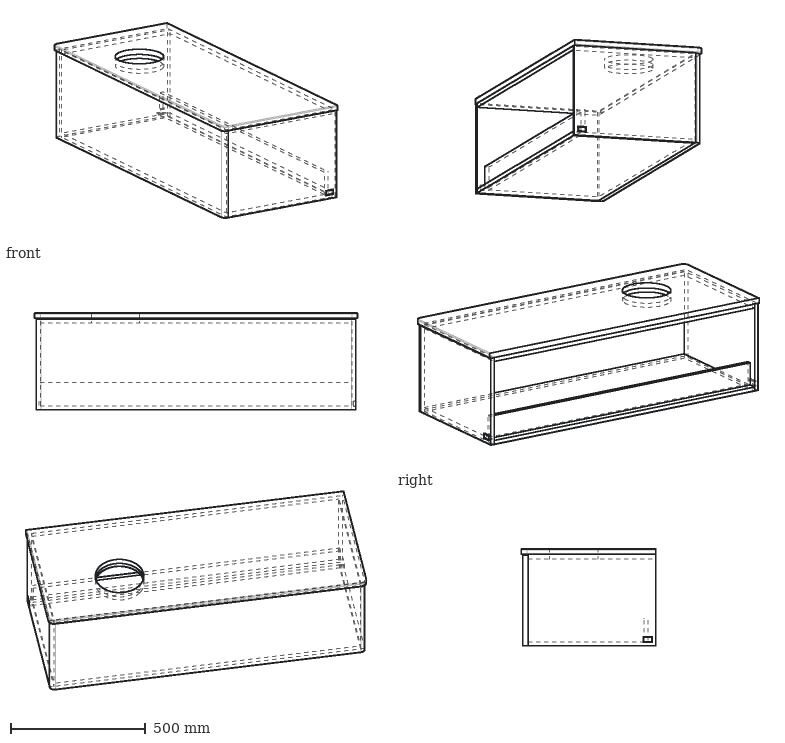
import cadquery as cq


width = 1200.0
depth = 500.0
height = 360.0

top_thickness = 20.0
top_overhang = 6.0
top_corner_radius = 22.0
top_edge_radius = 4.0

panel_thickness = 15.0
front_thickness = 20.0
front_top_gap = 2.0
corner_diameter = 35.0
corner_radius = corner_diameter / 2
carcass_width = width - 2 * top_overhang
carcass_depth = depth - top_overhang
carcass_height = height - top_thickness
panel_depth = carcass_depth - front_thickness
inner_width = carcass_width - 2 * panel_thickness

opening_diameter = 180.0
opening_x = -width / 4
opening_from_back = 306.0

rail_inset = 30.0
rail_top = 102.0

pocket_length = 32.0
pocket_height = 19.0
pocket_depth = 10.0
pocket_from_back = 15.0
pocket_from_bottom = 15.0
plug_clearance = 1.8

LEFT = -1
RIGHT = 1


def block(x_size, y_size, z_size, x_center, y_back, z_bottom):
    """Box centred on x_center that reaches forward from y_back and up from z_bottom."""
    return (
        cq.Workplane("XY")
        .box(x_size, y_size, z_size, centered=(True, False, False))
        .translate((x_center, y_back - y_size, z_bottom))
    )


def cut_opening(panel):
    """Cut the round opening through a horizontal panel."""
    cutter = (
        cq.Workplane("XY")
        .center(opening_x, -opening_from_back)
        .circle(opening_diameter / 2)
        .extrude(height)
    )
    return panel.cut(cutter)


def pocket_block(side, clearance=0.0):
    """Block that fills a side panel's pocket, smaller all round by the clearance."""
    outer_x = carcass_width / 2
    return block(
        pocket_depth,
        pocket_length - 2 * clearance,
        pocket_height - 2 * clearance,
        side * (outer_x - pocket_depth / 2),
        -pocket_from_back - clearance,
        pocket_from_bottom + clearance,
    )


def make_worktop():
    """Worktop with round front corners and rounded edges everywhere but along the back."""
    slab = block(width, depth, top_thickness, 0, 0, carcass_height)
    slab = slab.edges("|Z and <Y").fillet(top_corner_radius)
    back_edges = slab.faces(">Y").edges().vals()
    rim_edges = [
        edge
        for edge in slab.faces("<Z or >Z").edges().vals()
        if not any(edge.isSame(back_edge) for back_edge in back_edges)
    ]
    slab = slab.newObject(rim_edges).fillet(top_edge_radius)
    return cut_opening(slab)


def make_side_panel(side):
    """Full-height side panel with a plug pocket in its outer face."""
    panel = block(
        panel_thickness,
        panel_depth,
        carcass_height,
        side * (carcass_width - panel_thickness) / 2,
        0,
        0,
    )
    return panel.cut(pocket_block(side))


def make_plug(side):
    """Plug that sits flush in a side panel's pocket."""
    return pocket_block(side, plug_clearance)


def make_front():
    """Front panel across the whole cabinet with two round upright corners, just short of the worktop."""
    front = block(carcass_width, front_thickness, carcass_height - front_top_gap, 0, -panel_depth, 0)
    return front.edges("|Z and <Y").fillet(corner_radius)


def make_upper_panel():
    """Panel between the sides, directly under the worktop."""
    panel = block(inner_width, panel_depth, panel_thickness, 0, 0, carcass_height - panel_thickness)
    return cut_opening(panel)


def make_floor():
    """Floor panel between the sides."""
    return block(inner_width, panel_depth, panel_thickness, 0, 0, 0)


def make_back_rail():
    """Low rail between the sides, set in from the open back."""
    return block(inner_width, panel_thickness, rail_top - panel_thickness, 0, -rail_inset, panel_thickness)


worktop = make_worktop()
front = make_front()
upper_panel = make_upper_panel()
floor = make_floor()
back_rail = make_back_rail()
side_panels = [make_side_panel(side) for side in (LEFT, RIGHT)]
plugs = [make_plug(side) for side in (LEFT, RIGHT)]

bodies = [worktop, front, upper_panel, floor, back_rail, *side_panels, *plugs]
result = cq.Compound.makeCompound([body.val() for body in bodies])